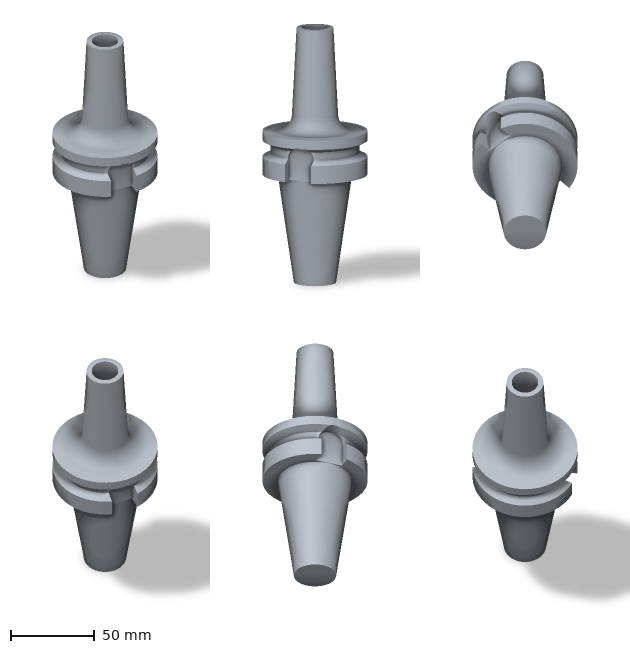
import cadquery as cq
import math

total_height = 155.4
gauge_height = 65.5
flange_bottom = 66.0
flange_top = 92.6

gauge_radius = 22.2
taper_ratio = 7 / 24
shank_end_radius = gauge_radius - gauge_height * taper_ratio / 2

flange_radius = 31.47
groove_radius = 26.5
lower_rim_height = 10.9
upper_rim_height = 5.7
groove_side_rise = 2.5

nose_top_radius = 11.0
nose_half_angle = math.radians(3)
blend_radius = 10.0
blend_end_radius = 23.8

bore_radius = 8.0
bore_depth = 46.6

slot_width = 16.5
slot_top = 87.3
slot_floor_distance = 22.5


def blend_point(angle):
    """Point on the blend arc, with the angle measured from its flange end."""
    return (
        blend_end_radius - blend_radius * math.sin(angle),
        flange_top + blend_radius * (1 - math.cos(angle)),
    )


def revolved_body():
    lower_rim_top = flange_bottom + lower_rim_height
    upper_rim_bottom = flange_top - upper_rim_height
    blend_sweep = math.pi / 2 - nose_half_angle
    profile = (
        cq.Workplane("XZ")
        .lineTo(shank_end_radius, 0)
        .lineTo(gauge_radius, gauge_height)
        .lineTo(gauge_radius, flange_bottom)
        .lineTo(flange_radius, flange_bottom)
        .lineTo(flange_radius, lower_rim_top)
        .lineTo(groove_radius, lower_rim_top + groove_side_rise)
        .lineTo(groove_radius, upper_rim_bottom - groove_side_rise)
        .lineTo(flange_radius, upper_rim_bottom)
        .lineTo(flange_radius, flange_top)
        .lineTo(blend_end_radius, flange_top)
        .threePointArc(blend_point(blend_sweep / 2), blend_point(blend_sweep))
        .lineTo(nose_top_radius, total_height)
        .lineTo(0, total_height)
        .close()
    )
    return profile.revolve(360, (0, 0, 0), (0, 1, 0))


def bore():
    return (
        cq.Workplane("XY")
        .workplane(offset=total_height - bore_depth)
        .circle(bore_radius)
        .extrude(bore_depth)
    )


def drive_slot(side):
    """Slot cutter on the +X side (side = 1) or the -X side (side = -1)."""
    half_width = slot_width / 2
    arc_base = slot_top - half_width
    return (
        cq.Workplane("YZ")
        .workplane(offset=side * slot_floor_distance)
        .moveTo(-half_width, flange_bottom)
        .lineTo(half_width, flange_bottom)
        .lineTo(half_width, arc_base)
        .threePointArc((0, slot_top), (-half_width, arc_base))
        .close()
        .extrude(side * flange_radius)
    )


result = revolved_body().cut(bore())
for side in (-1, 1):
    result = result.cut(drive_slot(side))